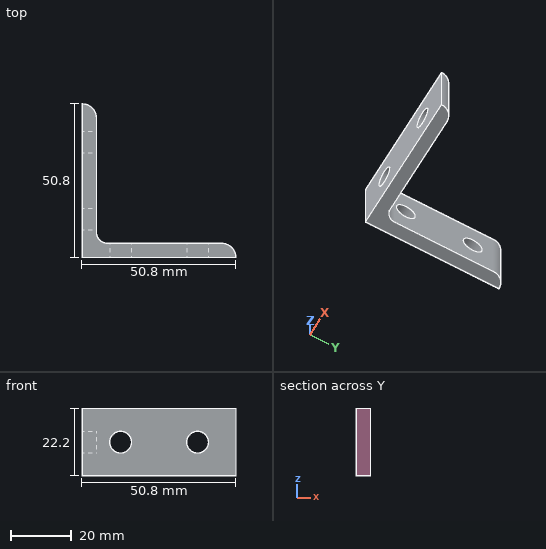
import cadquery as cq

leg_length = 50.8
bracket_height = 22.25
leg_thickness = 4.8
inner_corner_radius = 3.55
tip_radius = leg_thickness
hole_diameter = 7.1
hole_positions = (leg_length / 4, leg_length * 3 / 4)


def make_angle():
    """Extrude the L profile, with its outer corner on the origin."""
    tip_start = leg_length - tip_radius
    fillet_end = leg_thickness + inner_corner_radius
    return (
        cq.Workplane("XY")
        .lineTo(leg_length, 0)
        .radiusArc((tip_start, leg_thickness), -tip_radius)
        .lineTo(fillet_end, leg_thickness)
        .radiusArc((leg_thickness, fillet_end), inner_corner_radius)
        .lineTo(leg_thickness, tip_start)
        .radiusArc((0, leg_length), -tip_radius)
        .close()
        .extrude(bracket_height)
    )


def make_hole(position):
    """Cylinder crossing the leg along X, at the given distance along Y."""
    return (
        cq.Workplane("YZ")
        .center(position, bracket_height / 2)
        .circle(hole_diameter / 2)
        .extrude(leg_thickness)
    )


result = make_angle()
for position in hole_positions:
    y_leg_hole = make_hole(position)
    x_leg_hole = y_leg_hole.mirror(cq.Vector(1, -1, 0))
    result = result.cut(y_leg_hole).cut(x_leg_hole)